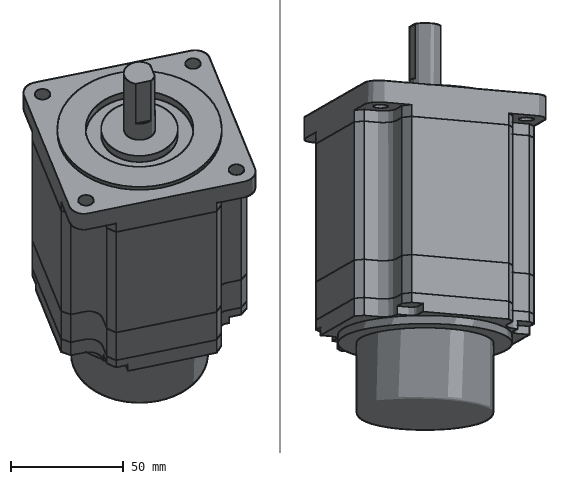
import cadquery as cq
import math

width = 85.9
total_height = 177.4
half_width = width / 2

cover_top = 33.0
rear_bottom = 36.7
rear_top = 44.9
brake_top = 62.3
stator_top = 125.2
flange_bottom = 130.5
flange_top = 140.5
pilot_top = 142.5
flat_bottom = 152.5

flange_corner_radius = 6.7
mount_hole_diameter = 6.7
mount_hole_pitch = 69.5

pilot_diameter = 73.1
groove_outer_diameter = 47.9
groove_inner_diameter = 34.0
groove_depth = 3.9

shaft_diameter = 14.0
shaft_radius = shaft_diameter / 2
flat_offset = 6.0

face_half_width = 23.2
recess_wall = 26.5
recess_radius = 6.4
prong_chamfer = 3.5

slot_end = 17.7
slot_wall = 33.9
slot_height = 3.7
slot_radius = 3.4

rim_diameter = 77.3
cover_diameter = 61.0
cover_fillet = 2.0


def corner_recess(bottom, top):
    """Cutter for the recess at the -X -Y corner, with a round inner corner and chamfered mouths."""
    prong_edge = half_width - prong_chamfer
    arc_center = recess_wall + recess_radius
    arc_middle = arc_center - recess_radius * math.cos(math.radians(45))
    return (
        cq.Workplane("XY")
        .workplane(offset=bottom)
        .moveTo(-half_width, -half_width)
        .lineTo(-half_width, -face_half_width)
        .lineTo(-prong_edge, -recess_wall)
        .lineTo(-arc_center, -recess_wall)
        .threePointArc((-arc_middle, -arc_middle), (-recess_wall, -arc_center))
        .lineTo(-recess_wall, -prong_edge)
        .lineTo(-face_half_width, -half_width)
        .close()
        .extrude(top - bottom)
    )


def at_corners(cutter):
    """The cutter repeated at the four corners by quarter turns about the motor axis."""
    return [cutter.rotate((0, 0, 0), (0, 0, 1), 90 * turn) for turn in range(4)]


def body_section(bottom, top):
    """Square length of motor body with a recess along each corner."""
    section = cq.Workplane("XY").workplane(offset=bottom).rect(width, width).extrude(top - bottom)
    for recess in at_corners(corner_recess(bottom, top)):
        section = section.cut(recess)
    return section


def disc(diameter, bottom, top):
    """Cylinder on the motor axis between two levels."""
    return cq.Workplane("XY").workplane(offset=bottom).circle(diameter / 2).extrude(top - bottom)


def make_front_bell():
    """Mounting flange with its pilot ring, short body section and shaft bore."""
    flange = (
        cq.Workplane("XY")
        .workplane(offset=flange_bottom)
        .rect(width, width)
        .extrude(flange_top - flange_bottom)
        .edges("|Z")
        .fillet(flange_corner_radius)
        .faces(">Z")
        .workplane()
        .rect(mount_hole_pitch, mount_hole_pitch, forConstruction=True)
        .vertices()
        .hole(mount_hole_diameter)
    )
    pilot = disc(pilot_diameter, flange_top, pilot_top)
    groove_bottom = pilot_top - groove_depth
    groove = disc(groove_outer_diameter, groove_bottom, pilot_top).cut(
        disc(groove_inner_diameter, groove_bottom, pilot_top)
    )
    bore = disc(shaft_diameter, stator_top, pilot_top)
    bell = body_section(stator_top, flange_bottom).union(flange).union(pilot)
    return bell.cut(groove).cut(bore)


def make_shaft():
    """Output shaft from the stator face up, with flats facing +X and +Y near its end."""
    flat_length = total_height - flat_bottom
    flat_depth = shaft_radius - flat_offset
    x_flat = (
        cq.Workplane("XY")
        .box(flat_depth, shaft_diameter, flat_length, centered=(False, True, False))
        .translate((flat_offset, 0, flat_bottom))
    )
    y_flat = x_flat.rotate((0, 0, 0), (0, 0, 1), 90)
    return disc(shaft_diameter, stator_top, total_height).cut(x_flat).cut(y_flat)


def bottom_slot():
    """Cutter for the slot through the prong on the -Y face beside the -X -Y corner."""
    return (
        cq.Workplane("XY")
        .box(half_width - slot_end, half_width - slot_wall, slot_height, centered=False)
        .translate((-half_width, -half_width, rear_bottom))
        .edges("|Z and >X and >Y")
        .fillet(slot_radius)
    )


def make_rear_bell():
    """Rear body section with corner slots, round rim and round end cover."""
    bell = body_section(rear_bottom, rear_top)
    for slot in at_corners(bottom_slot()):
        bell = bell.cut(slot)
    rim = disc(rim_diameter, cover_top, rear_bottom)
    cover = disc(cover_diameter, 0, cover_top).faces("<Z").edges().fillet(cover_fillet)
    return bell.union(rim).union(cover)


front_bell = make_front_bell()
shaft = make_shaft()
stator = body_section(brake_top, stator_top)
brake_section = body_section(rear_top, brake_top)
rear_bell = make_rear_bell()

result = cq.Compound.makeCompound(
    [front_bell.val(), shaft.val(), stator.val(), brake_section.val(), rear_bell.val()]
)